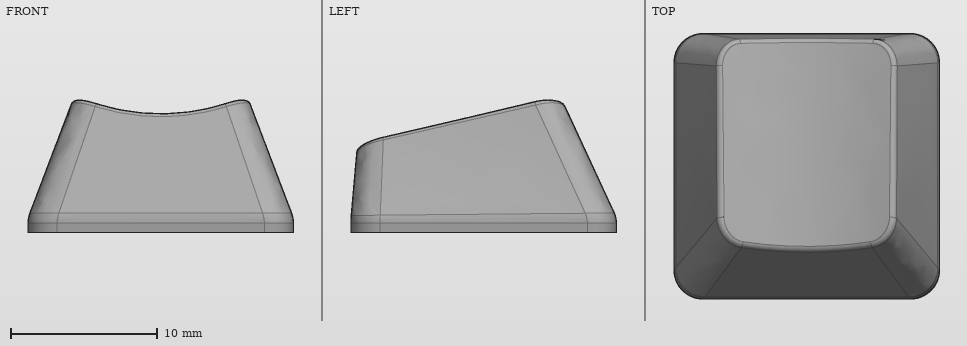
import cadquery as cq

base_size = 18.16
base_corner = 2.0
skirt_height = 0.65

bend_height = 0.98
shoulder_share = 0.04

top_slope = 0.24
top_center_y = 1.76
top_center_z = 7.99
top_width = 11.91
top_length = 14.1
top_corner = 1.82

dish_front_radius = 11.99
dish_front_floor = 8.9
dish_back_radius = 17.62
dish_back_floor = 5.03

rim_radius = 0.36


def outline(width, length, corner, center_y, center_z, slope):
    """Rounded rectangle on a plane that falls towards +Y by the given slope."""
    plane = cq.Plane(origin=(0, center_y, center_z), xDir=(1, 0, 0), normal=(0, slope, 1))
    return cq.Sketch().rect(width, length).vertices().fillet(corner).moved(cq.Location(plane))


def between(start, end, share):
    """Outline sizes part of the way from one outline to another."""
    return [a + (b - a) * share for a, b in zip(start, end)]


def loft(outlines, ruled):
    """Solid through a stack of outlines."""
    sketches = [outline(*sizes) for sizes in outlines]
    return cq.Workplane("XY").placeSketch(*sketches).loft(ruled=ruled)


def dish_circle(radius, floor, y):
    """Upright cross-section of the dish cutter, resting on the dish floor."""
    plane = cq.Plane(origin=(0, y, floor + radius), xDir=(1, 0, 0), normal=(0, -1, 0))
    return cq.Sketch().circle(radius).moved(cq.Location(plane))


base = [base_size, base_size, base_corner, 0, 0, 0]
skirt_top = [base_size, base_size, base_corner, 0, skirt_height, 0]
bend = [base_size, base_size, base_corner, 0, bend_height, 0]
top = [top_width, top_length, top_corner, top_center_y, top_center_z, top_slope]
wall_start = between(bend, top, shoulder_share)


def shoulder_outline(share):
    """Outline on the parabolic curve from the skirt, round the bend, to the wall."""
    return between(between(skirt_top, bend, share), between(bend, wall_start, share), share)


skirt = loft([base, skirt_top], ruled=True)
shoulder = loft([shoulder_outline(share) for share in (0, 0.5, 1)], ruled=False)
walls = loft([wall_start, top], ruled=True)
body = skirt.union(shoulder).union(walls)

front_circle = dish_circle(dish_front_radius, dish_front_floor, -base_size / 2)
back_circle = dish_circle(dish_back_radius, dish_back_floor, base_size / 2)
dish = cq.Workplane("XY").placeSketch(front_circle, back_circle).loft(ruled=True)
body = body.cut(dish)

dish_middle = (0, 0, (dish_front_floor + dish_back_floor) / 2)
dish_face = body.faces(cq.selectors.NearestToPointSelector(dish_middle))
result = dish_face.edges().fillet(rim_radius)